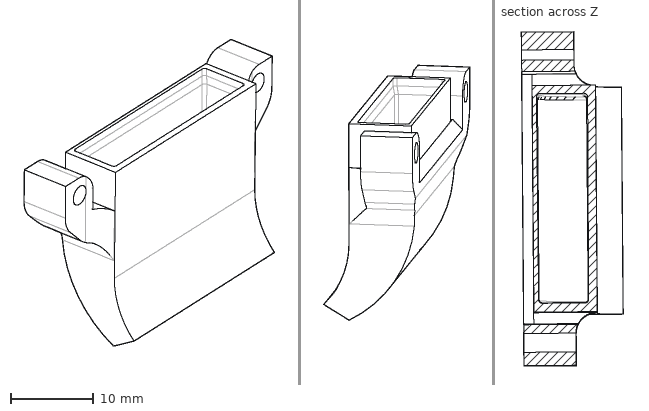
import cadquery as cq
import math


TILT_ABOUT_X = -0.87
TILT_ABOUT_Z = 0.45

BODY_LENGTH = 27.6
BODY_BACK_X = 9.0
BOX_FRONT_X = 1.25
SHOULDER_Z = -5.45
SLOPE_TOP_Z = -8.0

FRONT_ARC_START_X = 0.85
FRONT_ARC_START_Z = -11.05
FRONT_ARC_RADIUS = 15.1
FRONT_TIP_X = 9.0
BACK_ARC_START_Z = -14.9
BACK_ARC_RADIUS = 11.0
BACK_TIP_X = 12.14

EAR_SPAN = 40.6
EAR_GAP = 30.4
EAR_THICKNESS = 6.4
EAR_TOP_RADIUS = 2.5
EAR_BOTTOM_RADIUS = 3.5
HOLE_SPACING = 35.0
HOLE_DIAMETER = 2.5
HOLE_Z = -2.5

BLEND_RADIUS = 2.5
BLEND_END_Z = -12.45
BLEND_ANGLE = 110.0
FLARE_RADIUS = 5.0
FLARE_ANGLE = 315.0

RIM_FRONT_X = 1.72
RIM_BACK_X = 8.08
RIM_LENGTH = 25.7
RIM_DEPTH = 1.0
TAPER_DEPTH = 1.0
TAPER_INSET = 0.2
PASSAGE_CORNER_RADIUS = 0.4

DUCT_FRONT_END_X = 10.4
DUCT_BACK_END_X = 11.6

HALF_BODY = BODY_LENGTH / 2
HALF_SPAN = EAR_SPAN / 2
HALF_GAP = EAR_GAP / 2
FRONT_ARC_CENTER = (FRONT_ARC_START_X + FRONT_ARC_RADIUS, FRONT_ARC_START_Z)
BACK_ARC_CENTER = (BODY_BACK_X + BACK_ARC_RADIUS, BACK_ARC_START_Z)
BOTTOM_Z = FRONT_ARC_START_Z - FRONT_ARC_RADIUS
DUCT_FRONT_X = RIM_FRONT_X + TAPER_INSET
DUCT_BACK_X = RIM_BACK_X - TAPER_INSET
DUCT_LENGTH = RIM_LENGTH - 2 * TAPER_INSET
DUCT_TOP_Z = -(RIM_DEPTH + TAPER_DEPTH)


def on_circle(center, radius, angle):
    """Point on a circle at an angle in degrees."""
    turn = math.radians(angle)
    return (center[0] + radius * math.cos(turn), center[1] + radius * math.sin(turn))


def tail_arc(center, radius, tip_x):
    """Middle and end of an arc that leaves the leftmost point of a circle and drops to tip_x."""
    sweep = math.degrees(math.acos((center[0] - tip_x) / radius))
    return on_circle(center, radius, 180 + sweep / 2), on_circle(center, radius, 180 + sweep)


def side_profile():
    """Shape of the body and tail in XZ, as long as the whole part."""
    front_middle, front_tip = tail_arc(FRONT_ARC_CENTER, FRONT_ARC_RADIUS, FRONT_TIP_X)
    back_middle, back_tip = tail_arc(BACK_ARC_CENTER, BACK_ARC_RADIUS, BACK_TIP_X)
    return (
        cq.Workplane("XZ")
        .moveTo(0, 0)
        .lineTo(0, SLOPE_TOP_Z)
        .lineTo(FRONT_ARC_START_X, FRONT_ARC_START_Z)
        .threePointArc(front_middle, front_tip)
        .lineTo(*back_tip)
        .threePointArc(back_middle, (BODY_BACK_X, BACK_ARC_START_Z))
        .lineTo(BODY_BACK_X, 0)
        .close()
        .extrude(HALF_SPAN, both=True)
    )


def front_outline():
    """Shape of the ears, shoulders, box and tail in YZ, as deep as the tail."""
    ear_top_center = (HALF_GAP + EAR_TOP_RADIUS, -EAR_TOP_RADIUS)
    blend_center = (HALF_BODY + BLEND_RADIUS, BLEND_END_Z)
    blend_start = on_circle(blend_center, BLEND_RADIUS, BLEND_ANGLE)
    flare_center = on_circle(blend_center, BLEND_RADIUS + FLARE_RADIUS, BLEND_ANGLE)
    flare_start = on_circle(flare_center, FLARE_RADIUS, FLARE_ANGLE)

    edge_shift = (FLARE_RADIUS - EAR_BOTTOM_RADIUS) / math.sin(math.radians(FLARE_ANGLE))
    round_center_y = HALF_SPAN - EAR_BOTTOM_RADIUS
    round_center_z = flare_center[1] + round_center_y - flare_center[0] + edge_shift
    round_center = (round_center_y, round_center_z)

    half = (
        cq.Workplane("YZ")
        .moveTo(0, 0)
        .lineTo(HALF_BODY, 0)
        .lineTo(HALF_BODY, SHOULDER_Z)
        .lineTo(HALF_GAP, SHOULDER_Z)
        .lineTo(HALF_GAP, -EAR_TOP_RADIUS)
        .threePointArc(on_circle(ear_top_center, EAR_TOP_RADIUS, 135), (ear_top_center[0], 0))
        .lineTo(HALF_SPAN, 0)
        .lineTo(HALF_SPAN, round_center_z)
        .threePointArc(
            on_circle(round_center, EAR_BOTTOM_RADIUS, (360 + FLARE_ANGLE) / 2),
            on_circle(round_center, EAR_BOTTOM_RADIUS, FLARE_ANGLE),
        )
        .lineTo(*flare_start)
        .threePointArc(
            on_circle(flare_center, FLARE_RADIUS, (FLARE_ANGLE + 180 + BLEND_ANGLE) / 2),
            blend_start,
        )
        .threePointArc(
            on_circle(blend_center, BLEND_RADIUS, (180 + BLEND_ANGLE) / 2),
            (HALF_BODY, BLEND_END_Z),
        )
        .lineTo(HALF_BODY, BOTTOM_Z)
        .lineTo(0, BOTTOM_Z)
        .close()
        .extrude(BACK_TIP_X)
    )
    return half.union(half.mirror("XZ"))


def plan_outline():
    """Shape of the body and thinner ears in XY, with a fillet where they meet."""
    fillet_center = (EAR_THICKNESS + BLEND_RADIUS, HALF_BODY + BLEND_RADIUS)
    half = (
        cq.Workplane("XY")
        .moveTo(0, 0)
        .lineTo(0, HALF_SPAN)
        .lineTo(EAR_THICKNESS, HALF_SPAN)
        .lineTo(EAR_THICKNESS, fillet_center[1])
        .threePointArc(on_circle(fillet_center, BLEND_RADIUS, 225), (fillet_center[0], HALF_BODY))
        .lineTo(BACK_TIP_X, HALF_BODY)
        .lineTo(BACK_TIP_X, 0)
        .close()
        .extrude(BOTTOM_Z)
    )
    return half.union(half.mirror("XZ"))


def box_front_relief():
    """Space in front of the inlet box, down to a 45 degree ledge between the ears."""
    return (
        cq.Workplane("XZ")
        .moveTo(0, 0)
        .lineTo(BOX_FRONT_X, 0)
        .lineTo(BOX_FRONT_X, SHOULDER_Z)
        .lineTo(0, SHOULDER_Z - BOX_FRONT_X)
        .close()
        .extrude(HALF_GAP, both=True)
    )


def passage_section(top_z, inset):
    """Rounded rectangle across the passage, smaller than the rim opening by the inset."""
    return (
        cq.Sketch()
        .rect(RIM_BACK_X - RIM_FRONT_X - 2 * inset, RIM_LENGTH - 2 * inset)
        .vertices()
        .fillet(PASSAGE_CORNER_RADIUS)
        .moved(cq.Location(cq.Vector((RIM_FRONT_X + RIM_BACK_X) / 2, 0, top_z)))
    )


def inlet_opening():
    """Straight rim opening and the taper below it."""
    rim = cq.Workplane("XY").placeSketch(passage_section(0, 0)).extrude(-RIM_DEPTH)
    taper = (
        cq.Workplane("XY")
        .placeSketch(passage_section(-RIM_DEPTH, 0), passage_section(DUCT_TOP_Z, TAPER_INSET))
        .loft()
    )
    return rim.union(taper)


def curved_duct():
    """Duct that follows the tail and leaves through its tip."""
    front_radius = FRONT_ARC_CENTER[0] - DUCT_FRONT_X
    back_radius = BACK_ARC_CENTER[0] - DUCT_BACK_X
    front_middle, front_end = tail_arc(FRONT_ARC_CENTER, front_radius, DUCT_FRONT_END_X)
    back_middle, back_end = tail_arc(BACK_ARC_CENTER, back_radius, DUCT_BACK_END_X)
    return (
        cq.Workplane("XZ")
        .moveTo(DUCT_FRONT_X, DUCT_TOP_Z)
        .lineTo(DUCT_FRONT_X, FRONT_ARC_START_Z)
        .threePointArc(front_middle, front_end)
        .lineTo(*back_end)
        .threePointArc(back_middle, (DUCT_BACK_X, BACK_ARC_START_Z))
        .lineTo(DUCT_BACK_X, DUCT_TOP_Z)
        .close()
        .extrude(DUCT_LENGTH / 2, both=True)
        .edges("|Z")
        .fillet(PASSAGE_CORNER_RADIUS)
    )


def screw_holes():
    """Holes through both ears along X."""
    return (
        cq.Workplane("YZ")
        .pushPoints([(-HOLE_SPACING / 2, HOLE_Z), (HOLE_SPACING / 2, HOLE_Z)])
        .circle(HOLE_DIAMETER / 2)
        .extrude(BODY_BACK_X)
    )


body = side_profile().intersect(front_outline()).intersect(plan_outline())
body = body.cut(box_front_relief()).cut(screw_holes())
body = body.cut(inlet_opening()).cut(curved_duct())

tilted = body.rotate((0, 0, 0), (1, 0, 0), TILT_ABOUT_X)
result = tilted.rotate((0, 0, 0), (0, 0, 1), TILT_ABOUT_Z)